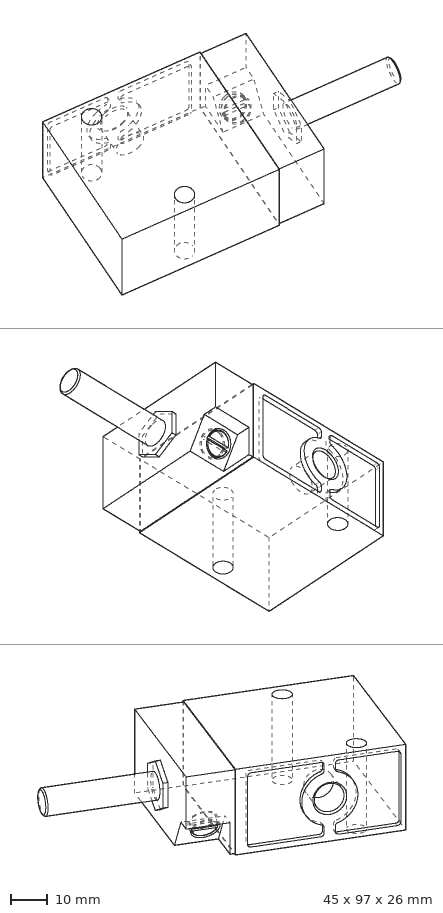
import cadquery as cq
import math

body_width = 45.0
body_length = 48.9
body_height = 26.0

cap_width = 44.3
cap_height = 25.4
cap_length = 14.1
cap_end = body_length + cap_length

nut_circumdiameter = 15.0
nut_thickness = 1.5
cable_diameter = 8.0
cable_end = 97.0
cable_end_chamfer = 0.5

slope_angle = 30.0
notch_height = 9.6
notch_length = 12.6
notch_depth = 4.5

screw_y = 55.1
screw_z = -7.5
screw_hole_diameter = 8.2
screw_diameter = 7.5
screw_chamfer = 0.24
screw_recess = 0.2
screw_hole_depth = 2.9
screw_slot_width = 1.0
screw_slot_depth = 1.9

mount_hole_diameter = 5.5
mount_hole_positions = [(-17.6, 12.5), (17.6, 22.1)]

port_y = 21.8
port_diameter = 8.5
port_depth = 9.7
port_chamfer = 0.6

panel_depth = 1.6
panel_height = 22.5
panel_front = 1.5
panel_back = 45.4
panel_corner_radius = 1.0
port_ring_radius = 8.05
web_width = 3.2


def block(width, length, height, front):
    """Box centred on X and Z whose -Y face is at the given Y."""
    return cq.Workplane("XY").box(width, length, height).translate((0, front + length / 2, 0))


def cross_plane(y):
    """Plane across the part at the given Y: local x along X, local y along Z, facing -Y."""
    return cq.Workplane("XZ", origin=(0, y, 0))


def side_plane():
    """Plane on the -X face of the body, facing +X, with local x along Y and local y along Z."""
    return cq.Workplane(cq.Plane(origin=(-body_width / 2, 0, 0), xDir=(0, 1, 0), normal=(1, 0, 0)))


def make_nut():
    """Nut with one corner straight up."""
    return (
        cross_plane(cap_end)
        .transformed(rotate=(0, 0, 90))
        .polygon(6, nut_circumdiameter)
        .extrude(-nut_thickness)
    )


def make_cable():
    """Round cable stub with a chamfered tip."""
    return (
        cross_plane(cap_end)
        .circle(cable_diameter / 2)
        .extrude(-(cable_end - cap_end))
        .faces(">Y")
        .chamfer(cable_end_chamfer)
    )


def make_notch():
    """Notch whose end wall leans inward towards the bottom of the cap."""
    side = -cap_width / 2
    bottom = -cap_height / 2
    ceiling = bottom + notch_height
    wall_top = side + notch_depth
    wall_bottom = wall_top + notch_height * math.tan(math.radians(slope_angle))
    return (
        cross_plane(cap_end)
        .polyline([(side, bottom), (side, ceiling), (wall_top, ceiling), (wall_bottom, bottom)])
        .close()
        .extrude(notch_length)
    )


def make_screw_cut():
    """Screw hole square to the sloped wall, less the slotted screw head left standing in it."""
    angle = math.radians(slope_angle)
    ceiling = notch_height - cap_height / 2
    wall_top = notch_depth - cap_width / 2
    screw_x = wall_top + (ceiling - screw_z) * math.tan(angle)
    sloped_wall = cq.Workplane(
        cq.Plane(
            origin=(screw_x, screw_y, screw_z),
            xDir=(0, 1, 0),
            normal=(math.cos(angle), 0, math.sin(angle)),
        )
    )
    hole = sloped_wall.circle(screw_hole_diameter / 2).extrude(screw_hole_depth)
    slot = (
        sloped_wall.workplane(offset=screw_recess)
        .rect(screw_diameter, screw_slot_width)
        .extrude(screw_slot_depth)
    )
    screw = (
        sloped_wall.workplane(offset=screw_recess)
        .circle(screw_diameter / 2)
        .extrude(screw_hole_depth - screw_recess)
        .faces("<X")
        .chamfer(screw_chamfer)
        .cut(slot)
    )
    return hole.cut(screw)


def make_mount_holes():
    """Plain holes through the full body height."""
    return (
        cq.Workplane("XY", origin=(0, 0, -body_height / 2))
        .pushPoints(mount_hole_positions)
        .circle(mount_hole_diameter / 2)
        .extrude(body_height)
    )


def make_port():
    """Blind bore with a countersunk mouth."""
    mouth_radius = port_diameter / 2 + port_chamfer
    port_face = side_plane().center(port_y, 0)
    bore = port_face.circle(port_diameter / 2).extrude(port_depth)
    mouth = port_face.circle(mouth_radius).extrude(port_chamfer, taper=45)
    return bore.union(mouth)


def make_panel(near_y, far_y):
    """Shallow panel between two Y positions, stopping at the ring around the port."""
    ring = side_plane().center(port_y, 0).circle(port_ring_radius).extrude(panel_depth)
    return (
        side_plane()
        .center((near_y + far_y) / 2, 0)
        .rect(far_y - near_y, panel_height)
        .extrude(panel_depth)
        .cut(ring)
        .edges("|X")
        .fillet(panel_corner_radius)
    )


body = block(body_width, body_length, body_height, 0)
cap = block(cap_width, cap_length, cap_height, body_length)

result = (
    body.union(cap.cut(make_notch()).cut(make_screw_cut()))
    .union(make_nut())
    .union(make_cable())
    .cut(make_mount_holes())
    .cut(make_port())
    .cut(make_panel(panel_front, port_y - web_width / 2))
    .cut(make_panel(port_y + web_width / 2, panel_back))
)